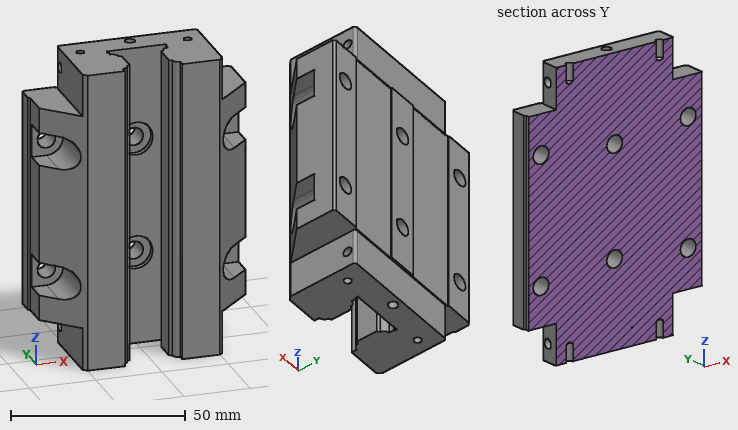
import cadquery as cq
import math

length = 91.0
body_width = 63.0
body_height = 25.4
body_length = 65.3
end_cap_length = (length - body_length) / 2

half_width = body_width / 2
bevel_foot = 19.9
top_chamfer = 0.7

center_pad_half_width = 5.0
pad_inner_edge = 21.5
pad_rise = 0.4

edge_relief = 0.55
edge_relief_top = 19.75
edge_relief_bottom = edge_relief_top - edge_relief

cap_half_width = 21.1
cap_height = 24.75
cap_corner_radius = 0.9

channel_ceiling = 16.2
ceiling_half_width = 8.9
ceiling_undercut = 0.8
neck_half_width = 8.6
ridge_middle = 7.7
ridge_half_width = 5.9
ridge_shoulder_half_width = 6.8
ridge_half_height = 3.55
ridge_shoulder_half_height = 4.1
ridge_base_half_height = 5.9
ridge_flank_radius = 2.0

screw_diameter = 5.4
screw_head_diameter = 10.0
screw_seat = 17.9
flange_screw_x = 26.5
flange_screw_spacing = 40.0
center_screw_spacing = 35.0

port_diameter = 3.0
port_y = 21.9
port_from_end = 5.6
tapped_diameter = 2.4
tapped_x = 16.2
tapped_y = 18.1
tapped_depth = 5.5
drill_tip_angle = 118.0


def make_body():
    """Flanged section with 45 degree bevels, raised pads on its +Y face and a relief on its -X edge."""
    relieved_height = body_height - pad_rise
    relieved_half_width = half_width - edge_relief
    return (
        cq.Workplane("XY", origin=(0, 0, end_cap_length))
        .moveTo(-bevel_foot, 0)
        .lineTo(bevel_foot, 0)
        .lineTo(half_width, half_width - bevel_foot)
        .lineTo(half_width, body_height - top_chamfer)
        .lineTo(half_width - top_chamfer, body_height)
        .lineTo(pad_inner_edge, body_height)
        .lineTo(pad_inner_edge, relieved_height)
        .lineTo(center_pad_half_width, relieved_height)
        .lineTo(center_pad_half_width, body_height)
        .lineTo(-center_pad_half_width, body_height)
        .lineTo(-center_pad_half_width, relieved_height)
        .lineTo(-pad_inner_edge, relieved_height)
        .lineTo(-pad_inner_edge, body_height)
        .lineTo(-half_width + top_chamfer, body_height)
        .lineTo(-half_width, body_height - top_chamfer)
        .lineTo(-half_width, edge_relief_top)
        .lineTo(-relieved_half_width, edge_relief_bottom)
        .lineTo(-relieved_half_width, relieved_half_width - bevel_foot)
        .close()
        .extrude(body_length)
    )


def make_end_caps():
    """Narrower section running the full length, showing past both ends of the body."""
    return (
        cq.Workplane("XY")
        .moveTo(-bevel_foot, 0)
        .lineTo(bevel_foot, 0)
        .lineTo(cap_half_width, cap_half_width - bevel_foot)
        .lineTo(cap_half_width, cap_height)
        .lineTo(-cap_half_width, cap_height)
        .lineTo(-cap_half_width, cap_half_width - bevel_foot)
        .close()
        .extrude(length)
        .edges("|Z and >Y")
        .fillet(cap_corner_radius)
    )


def make_rail_channel():
    """Channel open to -Y, narrowed by a rounded ball ridge on each side."""
    lower_base = (neck_half_width, ridge_middle - ridge_base_half_height)
    lower_shoulder = (ridge_shoulder_half_width, ridge_middle - ridge_shoulder_half_height)
    upper_shoulder = (ridge_shoulder_half_width, ridge_middle + ridge_shoulder_half_height)
    upper_base = (neck_half_width, ridge_middle + ridge_base_half_height)
    half = (
        cq.Workplane("XY")
        .lineTo(neck_half_width, 0)
        .lineTo(*lower_base)
        .radiusArc(lower_shoulder, ridge_flank_radius)
        .lineTo(ridge_half_width, ridge_middle - ridge_half_height)
        .lineTo(ridge_half_width, ridge_middle + ridge_half_height)
        .lineTo(*upper_shoulder)
        .radiusArc(upper_base, ridge_flank_radius)
        .lineTo(neck_half_width, channel_ceiling - ceiling_undercut)
        .lineTo(ceiling_half_width, channel_ceiling - ceiling_undercut)
        .lineTo(ceiling_half_width, channel_ceiling)
        .lineTo(0, channel_ceiling)
        .close()
        .extrude(length)
    )
    return half.union(half.mirror("YZ"))


def cylinder_along_y(diameter, x, z, start, end):
    """Cylinder parallel to Y between two Y positions."""
    axis = cq.Vector(0, 1, 0)
    return cq.Workplane(cq.Solid.makeCylinder(diameter / 2, end - start, cq.Vector(x, start, z), axis))


def make_flange_screw(side, z):
    """Through hole with a round-ended seat pocket that opens past the flange edge."""
    x = side * flange_screw_x
    hole = cylinder_along_y(screw_diameter, x, z, 0, body_height)
    pocket_end = cylinder_along_y(screw_head_diameter, x, z, 0, screw_seat)
    pocket = cq.Workplane("XY").box(
        screw_head_diameter, screw_seat, screw_head_diameter, centered=(True, False, True)
    )
    pocket = pocket.translate((x + side * screw_head_diameter / 2, 0, z))
    return hole.union(pocket_end).union(pocket)


def make_center_screw(z):
    """Through hole counterbored from the channel ceiling."""
    hole = cylinder_along_y(screw_diameter, 0, z, channel_ceiling, body_height)
    return hole.union(cylinder_along_y(screw_head_diameter, 0, z, channel_ceiling, screw_seat))


def make_cross_port(z):
    """Lubrication port passing through an end cap from side to side."""
    start = cq.Vector(-cap_half_width, port_y, z)
    return cq.Workplane(
        cq.Solid.makeCylinder(port_diameter / 2, 2 * cap_half_width, start, cq.Vector(1, 0, 0))
    )


def make_end_face_holes(end_z, inward):
    """Center port reaching the cross port, and two drilled holes with conical bottoms."""
    axis = cq.Vector(0, 0, inward)
    radius = tapped_diameter / 2
    tip = radius / math.tan(math.radians(drill_tip_angle / 2))
    port_start = cq.Vector(0, port_y, end_z)
    holes = cq.Workplane(cq.Solid.makeCylinder(port_diameter / 2, port_from_end, port_start, axis))
    for x in (-tapped_x, tapped_x):
        start = cq.Vector(x, tapped_y, end_z)
        holes = holes.add(cq.Solid.makeCylinder(radius, tapped_depth, start, axis))
        holes = holes.add(cq.Solid.makeCone(radius, 0, tip, start + axis * tapped_depth, axis))
    return holes.combine()


result = make_body().union(make_end_caps()).cut(make_rail_channel())

middle_z = length / 2
for end in (-1, 1):
    for flange_side in (-1, 1):
        result = result.cut(make_flange_screw(flange_side, middle_z + end * flange_screw_spacing / 2))
    result = result.cut(make_center_screw(middle_z + end * center_screw_spacing / 2))
    result = result.cut(make_cross_port(middle_z + end * (middle_z - port_from_end)))
    result = result.cut(make_end_face_holes(middle_z + end * middle_z, -end))